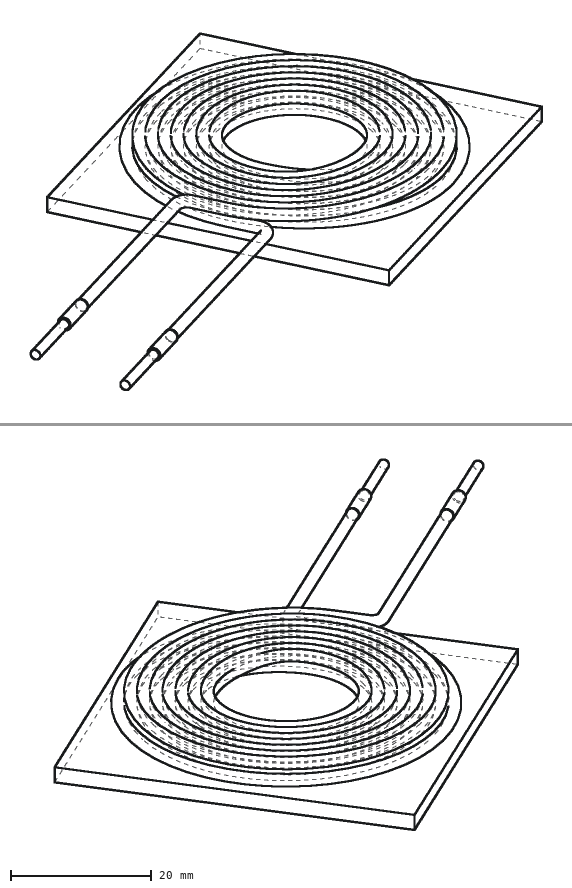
import cadquery as cq
import math

plate_side = 53.3
plate_thickness = 2.4

wire_diameter = 1.8
turn_pitch = wire_diameter
outer_turn_radius = 24.0
lower_turn_count = 8
turn_radii = [outer_turn_radius - i * turn_pitch for i in range(lower_turn_count)]
inner_turn_radius = turn_radii[-1]
lower_z = plate_thickness + wire_diameter / 2
upper_z = lower_z + wire_diameter

overall_length = 101.3
lead_offset = 7.0
lead_bend_radius = 1.7
sleeve_diameter = 2.0
sleeve_length = 6.1
tip_diameter = 1.5
tip_length = 10.0
lead_end_y = plate_side / 2 - overall_length
sleeve_back_y = lead_end_y + tip_length + sleeve_length
left_side = -1
right_side = 1

diagonal = math.sqrt(0.5)


def ring_arc(radius, z):
    """Three quarters of a circle, counterclockwise from +X to -Y."""
    return cq.Edge.makeThreePointArc(
        cq.Vector(radius, 0, z),
        cq.Vector(-radius * diagonal, radius * diagonal, z),
        cq.Vector(0, -radius, z),
    )


def turn_change(start_radius, end_radius, z):
    """Quarter ellipse, counterclockwise from -Y to +X, joining two neighbouring turns."""
    if end_radius > start_radius:
        long_axis = cq.Vector(1, 0, 0)
        start_angle = 270.0
    else:
        long_axis = cq.Vector(0, -1, 0)
        start_angle = 0.0
    return cq.Edge.makeEllipse(
        max(start_radius, end_radius),
        min(start_radius, end_radius),
        pnt=cq.Vector(0, 0, z),
        dir=cq.Vector(0, 0, 1),
        xdir=long_axis,
        angle1=start_angle,
        angle2=start_angle + 90.0,
    )


def layer_crossover():
    """Innermost quarter turn, from -Y to +X, dropping from the upper layer to the lower one."""
    middle = inner_turn_radius * diagonal
    return cq.Edge.makeSpline(
        [
            cq.Vector(0, -inner_turn_radius, upper_z),
            cq.Vector(middle, -middle, (lower_z + upper_z) / 2),
            cq.Vector(inner_turn_radius, 0, lower_z),
        ],
        tangents=[cq.Vector(1, 0, 0), cq.Vector(0, 1, 0)],
    )


def layer_turns(radii, z):
    """Turns of one layer that follow a first turn, in winding order."""
    edges = []
    for start_radius, end_radius in zip(radii, radii[1:]):
        edges.append(turn_change(start_radius, end_radius, z))
        edges.append(ring_arc(end_radius, z))
    return edges


def lead_edges(side, z):
    """Straight run, bend and lead, from the outer turn at -Y to the sleeve."""
    straight_y = -outer_turn_radius
    bend_center_x = side * (lead_offset - lead_bend_radius)
    bend_center_y = straight_y - lead_bend_radius
    bend_middle = lead_bend_radius * diagonal
    bend_start = cq.Vector(bend_center_x, straight_y, z)
    bend_end = cq.Vector(side * lead_offset, bend_center_y, z)
    return [
        cq.Edge.makeLine(cq.Vector(0, straight_y, z), bend_start),
        cq.Edge.makeThreePointArc(
            bend_start,
            cq.Vector(bend_center_x + side * bend_middle, bend_center_y + bend_middle, z),
            bend_end,
        ),
        cq.Edge.makeLine(bend_end, cq.Vector(side * lead_offset, sleeve_back_y, z)),
    ]


def wire_path():
    """Centre line: upper lead, inward turns, drop to the lower layer, outward turns, lower lead."""
    edges = lead_edges(left_side, upper_z)[::-1]
    edges.extend(layer_turns(turn_radii, upper_z))
    edges.append(layer_crossover())
    edges.append(ring_arc(inner_turn_radius, lower_z))
    edges.extend(layer_turns(turn_radii[::-1], lower_z))
    edges.extend(lead_edges(right_side, lower_z))
    return cq.Wire.assembleEdges(edges)


def make_lead_end(side, z):
    """Sleeve and bare tip at the end of one lead."""
    sleeve_plane = cq.Plane(origin=(side * lead_offset, sleeve_back_y, z), normal=(0, -1, 0))
    sleeve = cq.Workplane(sleeve_plane).circle(sleeve_diameter / 2).extrude(sleeve_length)
    return sleeve.faces("<Y").workplane().circle(tip_diameter / 2).extrude(tip_length)


def make_coil():
    """Wound wire with its two leads, sleeves and tips, all one body."""
    start_plane = cq.Plane(origin=(left_side * lead_offset, sleeve_back_y, upper_z), normal=(0, 1, 0))
    coil_body = cq.Workplane(start_plane).circle(wire_diameter / 2).sweep(cq.Workplane(wire_path()))
    for side, z in ((left_side, upper_z), (right_side, lower_z)):
        coil_body = coil_body.union(make_lead_end(side, z))
    return coil_body.solids()


def make_plate():
    """Plain square plate that carries the coil."""
    return cq.Workplane("XY").box(plate_side, plate_side, plate_thickness, centered=(True, True, False))


plate = make_plate()
coil = make_coil()
result = cq.Compound.makeCompound([plate.val(), coil.val()])